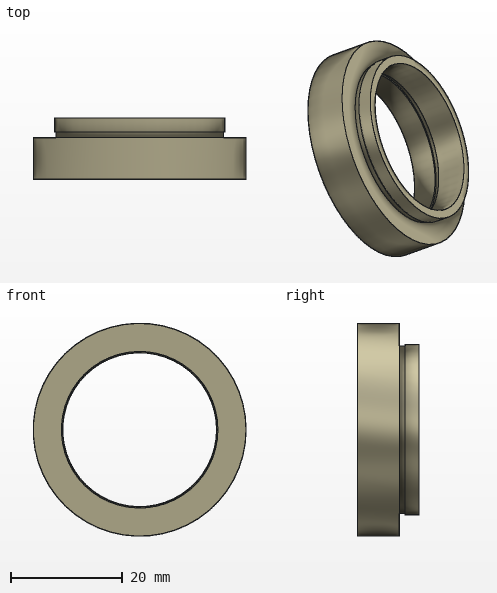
import cadquery as cq

flange_diameter = 38.1
flange_length = 7.5
neck_diameter = 30.0
neck_length = 1.0
lip_diameter = 30.5
lip_length = 2.5
front_bore_diameter = 28.0
front_bore_depth = 5.5
groove_diameter = 28.7
groove_width = 1.0
through_bore_diameter = 27.5

total_length = flange_length + neck_length + lip_length
front_y = -total_length / 2


def cylinder(diameter, start, length):
    """Solid cylinder along +Y, starting at a distance behind the front face."""
    base = cq.Workplane("XZ", origin=(0, front_y + start, 0))
    return base.circle(diameter / 2).extrude(-length)


def ring_body():
    """Wide flange, undercut neck and rear lip, stacked along Y."""
    flange = cylinder(flange_diameter, 0, flange_length)
    neck = cylinder(neck_diameter, flange_length, neck_length)
    lip = cylinder(lip_diameter, flange_length + neck_length, lip_length)
    return flange.union(neck).union(lip)


def stepped_bore():
    """Through bore with a slightly wider front seat that ends in a ring groove."""
    through_bore = cylinder(through_bore_diameter, 0, total_length)
    front_bore = cylinder(front_bore_diameter, 0, front_bore_depth)
    groove = cylinder(groove_diameter, front_bore_depth - groove_width, groove_width)
    return through_bore.union(front_bore).union(groove)


result = ring_body().cut(stepped_bore())